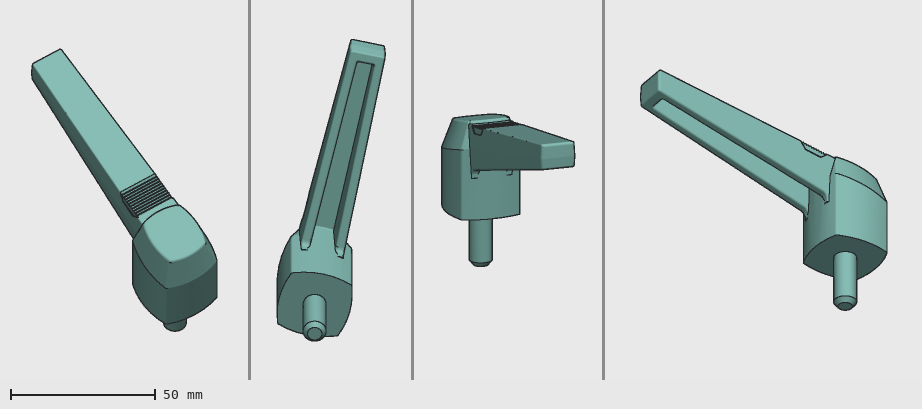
import cadquery as cq
import math

STUD_DIAMETER = 8.0
STUD_LENGTH = 20.0
STUD_TIP_RADIUS = 2.5
STUD_TIP_LENGTH = 1.8

HUB_HALF_WIDTH = 25.0 / 2
HUB_CORNER_HALF_X = 10.6
HUB_CORNER_HALF_Y = 10.8
HUB_CORNER_CUT = 0.6
CORNER_BLEND_MIDDLE = 0.4
CREASE_HEIGHT = 23.0
CREASE_ANGLE = 12.8
TOP_HEIGHT = 33.0
TOP_ANGLE = 11.9
TOP_LEFT = -10.0
TOP_RIGHT = 9.6
TOP_HALF_Y = 8.9
TOP_CORNER_INSET_X = 1.2
TOP_CORNER_INSET_Y = 1.5
TOP_RIM_FILLET = 0.9

OVERALL_LENGTH = 93
HANDLE_TIP_X = HUB_HALF_WIDTH - OVERALL_LENGTH
HANDLE_ROOT_X = -8.4
HANDLE_TOP_HEIGHT = 32.3
HANDLE_TOP_ANGLE = 10.0
HANDLE_BOTTOM_HEIGHT = 14.6
HANDLE_BOTTOM_ANGLE = 15.85
TIP_HALF_WIDTH = 6.2
ROOT_HALF_WIDTH = 8.1
SIDE_DRAFT = 3.0
TIP_FILLET = 0.9
LOWER_EDGE_FILLET = 0.7
TOP_EDGE_FILLET = 0.5

ROOT_FACE_X = -12.0
ROOT_RADIUS = 2.3
ROOT_END_Z = 15.1

CHANNEL_END_X = -76.8
CHANNEL_TIP_HALF_WIDTH = 3.2
CHANNEL_ROOT_HALF_WIDTH = 4.6
CHANNEL_CORNER_FILLET = 0.7
CEILING_THICKNESS = 3.1
CEILING_END_FILLET = 0.5

GRIP_START_X = -23.2
GRIP_END_X = -11.9
TOOTH_COUNT = 10
TOOTH_PITCH = 1.0
TOOTH_DEPTH = 0.4
FIRST_TOOTH_X = -21.85
TOOTH_DROP = 0.2
GRIP_HALF_WIDTH = 7.25
GRIP_SIDE_START_X = -20.9
GRIP_SIDE_END_X = -14.8
GRIP_SIDE_DEPTH = 2.8


def slope_height(height_at_axis, angle, x):
    """Height at x of a plane that falls towards +X."""
    return height_at_axis - x * math.tan(math.radians(angle))


def top_z(x):
    return slope_height(HANDLE_TOP_HEIGHT, HANDLE_TOP_ANGLE, x)


def parting_z(x):
    return slope_height(CREASE_HEIGHT, CREASE_ANGLE, x)


def bottom_z(x):
    return slope_height(HANDLE_BOTTOM_HEIGHT, HANDLE_BOTTOM_ANGLE, x)


def loft_between(*sections):
    return cq.Workplane(cq.Solid.makeLoft(list(sections), True))


def bulged_outline(left, right, half_y, corner_left, corner_right, corner_y, surface_z):
    """Closed outline of four bulged sides and four blended corners, at height surface_z(x)."""
    cut = HUB_CORNER_CUT
    middle_x = (left + right) / 2

    def arc(*points):
        return cq.Edge.makeThreePointArc(*[cq.Vector(x, y, surface_z(x)) for x, y in points])

    def corner_arc(x, y):
        toward_x = math.copysign(cut, x)
        toward_y = math.copysign(cut, y)
        middle = (x - toward_x * CORNER_BLEND_MIDDLE, y - toward_y * CORNER_BLEND_MIDDLE)
        return arc((x, y - toward_y), middle, (x - toward_x, y))

    edges = [
        arc((corner_right, cut - corner_y), (right, 0), (corner_right, corner_y - cut)),
        corner_arc(corner_right, corner_y),
        arc((corner_right - cut, corner_y), (middle_x, half_y), (corner_left + cut, corner_y)),
        corner_arc(corner_left, corner_y),
        arc((corner_left, corner_y - cut), (left, 0), (corner_left, cut - corner_y)),
        corner_arc(corner_left, -corner_y),
        arc((corner_left + cut, -corner_y), (middle_x, -half_y), (corner_right - cut, -corner_y)),
        corner_arc(corner_right, -corner_y),
    ]
    return cq.Wire.assembleEdges(edges)


def hub_prism_below(surface_z):
    """Vertical bulged prism from Z = 0 up to a plane that slopes along X."""
    outline = bulged_outline(
        -HUB_HALF_WIDTH, HUB_HALF_WIDTH, HUB_HALF_WIDTH,
        -HUB_CORNER_HALF_X, HUB_CORNER_HALF_X, HUB_CORNER_HALF_Y,
        lambda x: 0,
    )
    prism = cq.Workplane(cq.Solid.extrudeLinear(outline, [], cq.Vector(0, 0, 2 * CREASE_HEIGHT)))
    reach = 2 * HUB_HALF_WIDTH
    side = [(-reach, 0), (reach, 0), (reach, surface_z(reach)), (-reach, surface_z(-reach))]
    return prism.intersect(cq.Workplane("XZ").polyline(side).close().extrude(reach, both=True))


def make_hub():
    straight_part = hub_prism_below(parting_z)
    crease = straight_part.faces(">Z").val().outerWire()
    top = bulged_outline(
        TOP_LEFT, TOP_RIGHT, TOP_HALF_Y,
        TOP_LEFT + TOP_CORNER_INSET_X, TOP_RIGHT - TOP_CORNER_INSET_X, TOP_HALF_Y - TOP_CORNER_INSET_Y,
        lambda x: slope_height(TOP_HEIGHT, TOP_ANGLE, x),
    )
    tapered_part = loft_between(crease, top).faces(">Z").edges().fillet(TOP_RIM_FILLET)
    return straight_part.union(tapered_part)


def make_stud():
    """Plain stud with a conical tip, started slightly inside the hub."""
    radius = STUD_DIAMETER / 2
    profile = [
        (0, 0.9),
        (radius, 0.9),
        (radius, STUD_TIP_LENGTH - STUD_LENGTH),
        (STUD_TIP_RADIUS, -STUD_LENGTH),
        (0, -STUD_LENGTH),
    ]
    return cq.Workplane("XZ").polyline(profile).close().revolve(360, (0, 0), (0, 1))


def section_wire(x, right_side):
    """Closed section across the handle, mirrored from the (y, z) corners of one side."""
    loop = right_side + [(-y, z) for y, z in reversed(right_side)]
    return cq.Wire.makePolygon([cq.Vector(x, y, z) for y, z in loop], close=True)


def draft_offset(height):
    return height * math.tan(math.radians(SIDE_DRAFT))


def handle_section(x, half_width):
    """Section that reaches below the handle; the side outline trims its underside."""
    top = top_z(x)
    parting = parting_z(x)
    bottom = bottom_z(x) - 2 * ROOT_RADIUS
    corners = [
        (half_width - draft_offset(top - parting), top),
        (half_width, parting),
        (half_width - draft_offset(parting - bottom), bottom),
    ]
    return section_wire(x, corners)


def channel_section(x, half_width):
    """Section of the channel, with half_width measured at its mouth."""
    ceiling = top_z(x) - CEILING_THICKNESS
    mouth = bottom_z(x)
    below = mouth - 2 * ROOT_RADIUS
    corners = [
        (half_width - draft_offset(ceiling - mouth), ceiling),
        (half_width + draft_offset(mouth - below), below),
    ]
    return section_wire(x, corners)


def handle_side_outline():
    """Side outline: drafted tip, sloping underside and the concave root that meets the hub."""
    tip_top = top_z(HANDLE_TIP_X) + 0.9
    tip_top_x = HANDLE_TIP_X + draft_offset(tip_top - parting_z(HANDLE_TIP_X))
    tip_bottom_x = HANDLE_TIP_X + draft_offset(parting_z(HANDLE_TIP_X) - bottom_z(HANDLE_TIP_X))
    centre_x = ROOT_FACE_X - ROOT_RADIUS
    slope = math.radians(HANDLE_BOTTOM_ANGLE)
    centre_z = bottom_z(centre_x) - ROOT_RADIUS / math.cos(slope)
    arc_middle = (math.pi / 2 - slope) / 2
    return (
        cq.Workplane("XZ")
        .moveTo(HANDLE_TIP_X, parting_z(HANDLE_TIP_X))
        .lineTo(tip_bottom_x, bottom_z(tip_bottom_x))
        .lineTo(centre_x + ROOT_RADIUS * math.sin(slope), centre_z + ROOT_RADIUS * math.cos(slope))
        .threePointArc(
            (centre_x + ROOT_RADIUS * math.cos(arc_middle), centre_z + ROOT_RADIUS * math.sin(arc_middle)),
            (ROOT_FACE_X, centre_z),
        )
        .lineTo(ROOT_FACE_X, ROOT_END_Z)
        .lineTo(HANDLE_ROOT_X, ROOT_END_Z)
        .lineTo(HANDLE_ROOT_X, tip_top)
        .lineTo(tip_top_x, tip_top)
        .close()
    )


def make_channel():
    channel = loft_between(
        channel_section(CHANNEL_END_X, CHANNEL_TIP_HALF_WIDTH),
        channel_section(HANDLE_ROOT_X, CHANNEL_ROOT_HALF_WIDTH),
    )
    end_corners = channel.faces("<X").edges("not #Z").edges("not |Y")
    return end_corners.fillet(CHANNEL_CORNER_FILLET)


def is_lower_edge(edge):
    """Edge of the underside, around the channel mouth or on the outside."""
    middle = edge.Center()
    return middle.x < 2 * ROOT_FACE_X and abs(middle.z - bottom_z(middle.x)) < 0.1


def is_tip_edge(edge):
    """Upper or upright edge around the tip, other than the parting line."""
    middle = edge.Center()
    off_parting = abs(middle.z - parting_z(middle.x)) > 0.2
    return middle.x < CHANNEL_END_X - 0.9 and off_parting and not is_lower_edge(edge)


def is_top_edge(edge):
    """Long edge along either side of the top of the handle."""
    middle = edge.Center()
    return 0.8 * HANDLE_TIP_X < middle.x < 2 * ROOT_FACE_X and abs(middle.z - top_z(middle.x)) < 0.1


def is_ceiling_end(edge):
    """Edge where the channel ceiling meets the side of the hub."""
    middle = edge.Center()
    near_hub = abs(middle.x + HUB_HALF_WIDTH) < CHANNEL_CORNER_FILLET
    on_ceiling = abs(middle.z - top_z(middle.x) + CEILING_THICKNESS) < 0.2
    return near_hub and abs(middle.y) < 0.1 and on_ceiling


def fillet_edges(body, belongs, radius):
    chosen = [edge for edge in body.edges().vals() if belongs(edge)]
    return body.newObject(chosen).fillet(radius)


def make_handle():
    handle = loft_between(
        handle_section(HANDLE_TIP_X - 0.9, TIP_HALF_WIDTH),
        handle_section(HANDLE_ROOT_X, ROOT_HALF_WIDTH),
    )
    handle = handle.intersect(handle_side_outline().extrude(2 * ROOT_HALF_WIDTH, both=True))
    handle = handle.cut(make_channel())
    handle = fillet_edges(handle, is_tip_edge, TIP_FILLET)
    handle = fillet_edges(handle, is_lower_edge, LOWER_EDGE_FILLET)
    return fillet_edges(handle, is_top_edge, TOP_EDGE_FILLET)


def make_tooth_cut():
    """Sawtooth profile removed across the whole top of the grip."""
    outline = [(GRIP_START_X, top_z(GRIP_START_X))]
    for index in range(TOOTH_COUNT):
        peak = FIRST_TOOTH_X + index * TOOTH_PITCH
        valley = peak - TOOTH_PITCH / 2
        outline.append((valley, top_z(valley) - TOOTH_DROP - TOOTH_DEPTH))
        outline.append((peak, top_z(peak) - TOOTH_DROP))
    above = top_z(GRIP_START_X) + 0.9
    outline.append((GRIP_END_X, top_z(GRIP_END_X)))
    outline.append((GRIP_END_X, above))
    outline.append((GRIP_START_X, above))
    return cq.Workplane("XZ").polyline(outline).close().extrude(2 * ROOT_HALF_WIDTH, both=True)


def make_grip_side_cut():
    """Shallow flats on both sides of the grip."""
    outline = [
        (GRIP_START_X, top_z(GRIP_START_X)),
        (GRIP_SIDE_START_X, top_z(GRIP_SIDE_START_X) - GRIP_SIDE_DEPTH),
        (GRIP_SIDE_END_X, top_z(GRIP_SIDE_END_X) - GRIP_SIDE_DEPTH),
        (GRIP_END_X, top_z(GRIP_END_X)),
    ]
    whole = cq.Workplane("XZ").polyline(outline).close().extrude(2 * ROOT_HALF_WIDTH, both=True)
    kept = cq.Workplane("XY").box(2 * OVERALL_LENGTH, 2 * GRIP_HALF_WIDTH, 2 * OVERALL_LENGTH)
    return whole.cut(kept)


handle = make_handle().cut(make_tooth_cut()).cut(make_grip_side_cut())
channel_end = make_channel().intersect(hub_prism_below(lambda x: top_z(x) - CEILING_THICKNESS / 2))
body = make_hub().union(channel_end).union(handle).union(make_stud())
result = fillet_edges(body, is_ceiling_end, CEILING_END_FILLET)